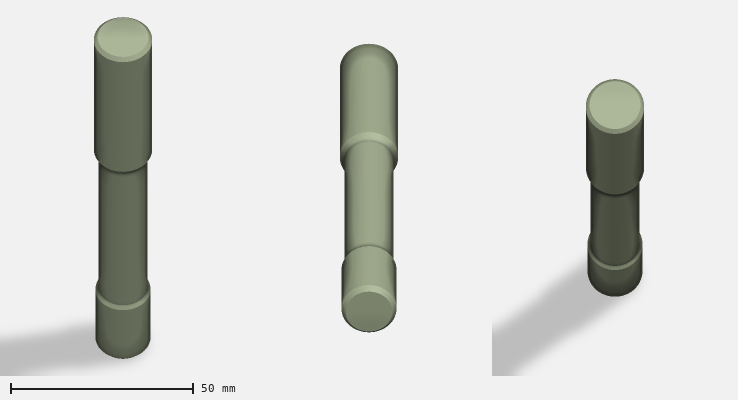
import cadquery as cq

length = 130
head_radius = 8.0
neck_radius = 6.8
foot_radius = 7.5

foot_top = 23.4
head_bottom = 79.7

foot_chamfer_width = 1.2
foot_chamfer_height = 1.5
foot_shoulder_height = 1.2
head_shoulder_height = 2.3
top_chamfer = 1.0

profile = [
    (0, 0),
    (foot_radius - foot_chamfer_width, 0),
    (foot_radius, foot_chamfer_height),
    (foot_radius, foot_top - foot_shoulder_height),
    (neck_radius, foot_top),
    (neck_radius, head_bottom),
    (head_radius, head_bottom + head_shoulder_height),
    (head_radius, length - top_chamfer),
    (head_radius - top_chamfer, length),
    (0, length),
]

result = cq.Workplane("XZ").polyline(profile).close().revolve(360, (0, 0), (0, 1))